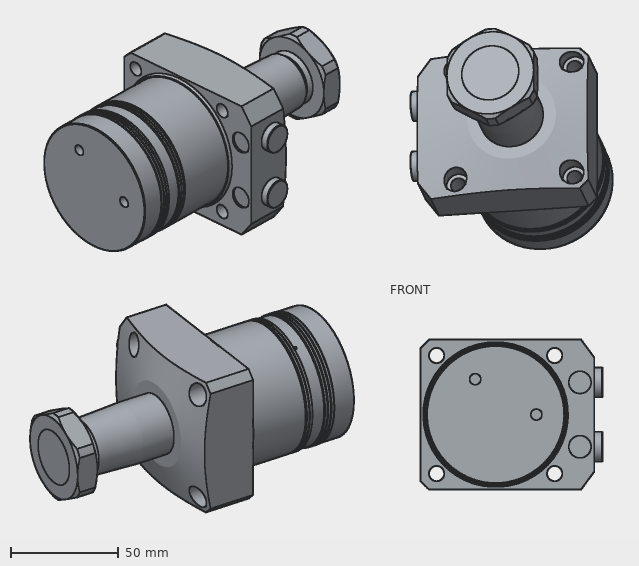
import cadquery as cq
import math


BARREL_RADIUS = 32.5
BARREL_END_RADIUS = 32.3
BARREL_CHAMFER = 0.4
RELIEF_RADIUS = 32.0
END_LAND_BACK = 11.1
RELIEF_FRONT = 16.8
RELIEF_BACK = 23.1
V_GROOVES = ((13.1, 0.5), (14.9, 0.5), (25.0, 0.4), (26.9, 0.9))
V_GROOVE_DEPTH = 0.3
COLLAR_FRONT_RADIUS = 33.1
COLLAR_BACK_RADIUS = 33.8
COLLAR_LENGTH = 1.5
PILOT_RADIUS = 19.0
PILOT_ANGLES = (0, 120)
PILOT_DIAMETER = 5.2
VENT_DIAMETER = 1.4
VENT_Y = 22.4
PILOT_DEPTH = VENT_Y + VENT_DIAMETER
VENT_ANGLE = 120

FLANGE_FRONT = 58.0
FLANGE_BACK = 89.0
FLANGE_HALF_HEIGHT = 35.0
FLANGE_LEFT = -35.0
FLANGE_RIGHT = 46.0
LEFT_CHAMFER = 4.0
RIGHT_CHAMFER_X = 6.2
RIGHT_CHAMFER_Z = 8.4
CROWN_FLAT_RADIUS = 21.0
CROWN_ANGLE = 16.0
BOLT_OFFSET = 27.5
BOLT_DIAMETER = 7.0
COUNTERBORE_DIAMETER = 11.0
COUNTERBORE_FLOOR = 76.0
FACE_PORT_X = 39.3
FACE_PORT_DIAMETER = 10.4
FACE_PORT_DEPTH = 1.0
PORT_Z = 15.0

PLUG_DIAMETER = 14.0
PLUG_PROJECTION = 3.8
PLUG_INSERTION = 8.0
PLUG_CHAMFER = 0.3
PLUG_Y = 72.0

ROD_RADIUS = 15.0
ROD_FRONT = 30.0
TAPER_START = 106.0
TAPER_END = 130.0
TAPER_END_RADIUS = 14.0
NECK_RADIUS = 12.4
NECK_FILLET = 0.7
NECK_END = 132.3
THREAD_RADIUS = 13.5

NUT_FRONT = 135.0
NUT_BACK = 146.0
NUT_SIDES = 6
NUT_ACROSS_FLATS = 41.0
NUT_CORNER_RADIUS = 22.5
NUT_CHAMFER_ANGLE = 30.0


def revolved(points):
    """Turn a closed outline around the Y axis; each point is (y, radius)."""
    return cq.Workplane("YZ").polyline(points).close().revolve(360, (0, 0, 0), (1, 0, 0))


def cylinder_y(radius, y_start, y_end, x, z):
    """A cylinder along Y, centred on (x, z)."""
    start = cq.Vector(x, y_start, z)
    solid = cq.Solid.makeCylinder(radius, y_end - y_start, start, cq.Vector(0, 1, 0))
    return cq.Workplane(obj=solid)


def prism_y(points, y_start, y_end):
    """Extrude a closed (x, z) outline from y_start to y_end."""
    return (
        cq.Workplane("XZ", origin=(0, y_start, 0))
        .polyline(points)
        .close()
        .extrude(y_start - y_end)
    )


def make_barrel():
    collar_front = FLANGE_FRONT - COLLAR_LENGTH
    barrel = revolved([
        (0, 0),
        (0, BARREL_END_RADIUS - BARREL_CHAMFER),
        (BARREL_CHAMFER, BARREL_END_RADIUS),
        (END_LAND_BACK, BARREL_END_RADIUS),
        (END_LAND_BACK + BARREL_CHAMFER, BARREL_RADIUS),
        (RELIEF_FRONT - BARREL_CHAMFER, BARREL_RADIUS),
        (RELIEF_FRONT, RELIEF_RADIUS),
        (RELIEF_BACK, RELIEF_RADIUS),
        (RELIEF_BACK + BARREL_CHAMFER, BARREL_RADIUS),
        (collar_front, BARREL_RADIUS),
        (collar_front, COLLAR_FRONT_RADIUS),
        (FLANGE_FRONT, COLLAR_BACK_RADIUS),
        (FLANGE_FRONT, 0),
    ])
    for bottom_y, width in V_GROOVES:
        groove = revolved([
            (bottom_y - width / 2, BARREL_RADIUS),
            (bottom_y, BARREL_RADIUS - V_GROOVE_DEPTH),
            (bottom_y + width / 2, BARREL_RADIUS),
        ])
        barrel = barrel.cut(groove)
    return barrel


def make_flange():
    top = FLANGE_HALF_HEIGHT
    upper = [
        (FLANGE_LEFT, top - LEFT_CHAMFER),
        (FLANGE_LEFT + LEFT_CHAMFER, top),
        (FLANGE_RIGHT - RIGHT_CHAMFER_X, top),
        (FLANGE_RIGHT, top - RIGHT_CHAMFER_Z),
    ]
    lower = [(x, -z) for x, z in reversed(upper)]
    flange = prism_y(upper + lower, FLANGE_FRONT, FLANGE_BACK)
    reach = FLANGE_RIGHT + FLANGE_HALF_HEIGHT
    drop = (reach - CROWN_FLAT_RADIUS) * math.tan(math.radians(CROWN_ANGLE))
    crown = revolved([
        (FLANGE_FRONT, 0),
        (FLANGE_FRONT, reach),
        (FLANGE_BACK - drop, reach),
        (FLANGE_BACK, CROWN_FLAT_RADIUS),
        (FLANGE_BACK, 0),
    ])
    return flange.intersect(crown)


def bolt_holes():
    """Four through holes with counterbores sunk from the crowned back face."""
    holes = cq.Workplane()
    for x in (-BOLT_OFFSET, BOLT_OFFSET):
        for z in (-BOLT_OFFSET, BOLT_OFFSET):
            shank = cylinder_y(BOLT_DIAMETER / 2, FLANGE_FRONT, FLANGE_BACK, x, z)
            counterbore = cylinder_y(COUNTERBORE_DIAMETER / 2, COUNTERBORE_FLOOR, FLANGE_BACK, x, z)
            holes = holes.add(shank).add(counterbore)
    return holes.combine()


def face_ports():
    """Shallow round recesses in the front face of the flange."""
    ports = cq.Workplane()
    for z in (-PORT_Z, PORT_Z):
        port_end = FLANGE_FRONT + FACE_PORT_DEPTH
        ports = ports.add(cylinder_y(FACE_PORT_DIAMETER / 2, FLANGE_FRONT, port_end, FACE_PORT_X, z))
    return ports.combine()


def pilot_holes():
    """Two blind holes in the barrel end; a radial vent runs from one of them to the relief."""
    vent_angle = math.radians(VENT_ANGLE)
    vent_direction = cq.Vector(math.cos(vent_angle), 0, math.sin(vent_angle))
    vent_start = vent_direction * PILOT_RADIUS + cq.Vector(0, VENT_Y, 0)
    vent_length = BARREL_RADIUS - PILOT_RADIUS
    vent = cq.Solid.makeCylinder(VENT_DIAMETER / 2, vent_length, vent_start, vent_direction)
    holes = cq.Workplane(obj=vent)
    for angle in PILOT_ANGLES:
        x = PILOT_RADIUS * math.cos(math.radians(angle))
        z = PILOT_RADIUS * math.sin(math.radians(angle))
        holes = holes.add(cylinder_y(PILOT_DIAMETER / 2, 0, PILOT_DEPTH, x, z))
    return holes.combine()


def make_housing(rod, plugs):
    housing = make_barrel().union(make_flange())
    for cutter in [bolt_holes(), face_ports(), pilot_holes(), rod, *plugs]:
        housing = housing.cut(cutter)
    return housing


def make_rod():
    return (
        cq.Workplane("YZ")
        .moveTo(ROD_FRONT, 0)
        .lineTo(ROD_FRONT, ROD_RADIUS)
        .lineTo(TAPER_START, ROD_RADIUS)
        .lineTo(TAPER_END, TAPER_END_RADIUS)
        .lineTo(TAPER_END, NECK_RADIUS + NECK_FILLET)
        .radiusArc((TAPER_END + NECK_FILLET, NECK_RADIUS), -NECK_FILLET)
        .lineTo(NECK_END, NECK_RADIUS)
        .lineTo(NUT_FRONT, THREAD_RADIUS)
        .lineTo(NUT_BACK, THREAD_RADIUS)
        .lineTo(NUT_BACK, 0)
        .close()
        .revolve(360, (0, 0, 0), (1, 0, 0))
    )


def make_nut():
    half_flats = NUT_ACROSS_FLATS / 2
    half_side_angle = math.pi / NUT_SIDES
    corner = half_flats / math.cos(half_side_angle)
    corner_angles = [(2 * i + 1) * half_side_angle for i in range(NUT_SIDES)]
    hexagon = [(corner * math.cos(angle), corner * math.sin(angle)) for angle in corner_angles]
    chamfer = (NUT_CORNER_RADIUS - half_flats) * math.tan(math.radians(NUT_CHAMFER_ANGLE))
    blank = revolved([
        (NUT_FRONT, THREAD_RADIUS),
        (NUT_FRONT, half_flats),
        (NUT_FRONT + chamfer, NUT_CORNER_RADIUS),
        (NUT_BACK - chamfer, NUT_CORNER_RADIUS),
        (NUT_BACK, half_flats),
        (NUT_BACK, THREAD_RADIUS),
    ])
    return prism_y(hexagon, NUT_FRONT, NUT_BACK).intersect(blank)


def make_plug(z):
    return (
        cq.Workplane("YZ", origin=(FLANGE_RIGHT - PLUG_INSERTION, PLUG_Y, z))
        .circle(PLUG_DIAMETER / 2)
        .extrude(PLUG_INSERTION + PLUG_PROJECTION)
        .faces(">X")
        .chamfer(PLUG_CHAMFER)
    )


rod = make_rod()
nut = make_nut()
plugs = [make_plug(z) for z in (-PORT_Z, PORT_Z)]
housing = make_housing(rod, plugs)

result = cq.Compound.makeCompound([
    housing.val(),
    rod.val(),
    nut.val(),
    *[plug.val() for plug in plugs],
])